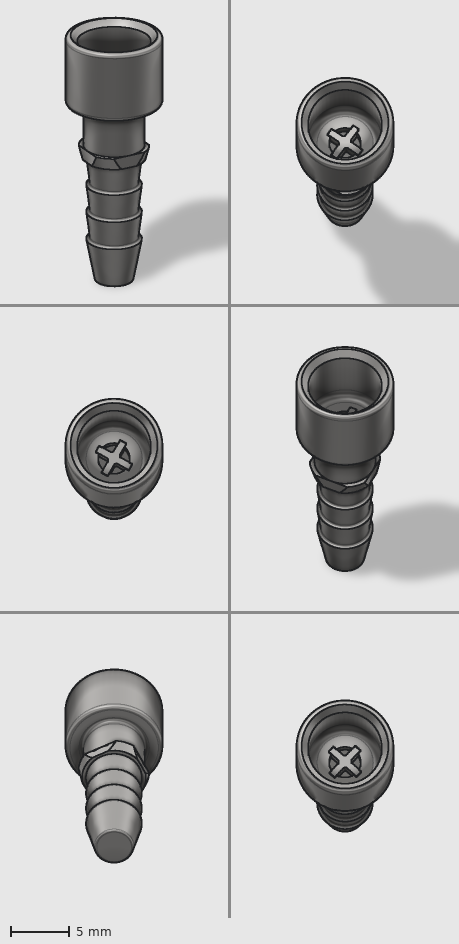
import cadquery as cq

TOTAL_HEIGHT = 22.86
EDGE_FILLET = 0.38

CUP_RADIUS = 4.19
CUP_HEIGHT = 6.35
SOCKET_RADIUS = 3.175
SOCKET_DEPTH = 5.4
SOCKET_FLOOR_FILLET = 0.76
SOCKET_CHAMFER = 0.56
CUP_BOTTOM = TOTAL_HEIGHT - CUP_HEIGHT
SOCKET_FLOOR = TOTAL_HEIGHT - SOCKET_DEPTH

NECK_RADIUS = 2.64
COLLAR_WIDTH = 2 * NECK_RADIUS
COLLAR_HEIGHT = 1.12
COLLAR_TOP_RADIUS = 3.05
COLLAR_BOTTOM_RADIUS = 2.75

BARB_COUNT = 3
BARB_PITCH = 2.54
BARB_RADIUS = 2.41
BARB_ROOT_RADIUS = 2.08
BARB_ROOT_FILLET = 0.2
TIP_HEIGHT = 3.84
TIP_RADIUS = 1.66
TIP_FILLET = 0.2
COLLAR_BOTTOM = TIP_HEIGHT + BARB_COUNT * BARB_PITCH
COLLAR_TOP = COLLAR_BOTTOM + COLLAR_HEIGHT

BORE_RADIUS = 1.36
BORE_DEPTH = 1.0
CROSS_LENGTH = 3.28
CROSS_WIDTH = 0.62
CROSS_RISE = 0.25
CROSS_CORNER_FILLET = 0.2


def cone_frustum(bottom_z, height, bottom_radius, top_radius):
    """Solid frustum about the Z axis."""
    solid = cq.Solid.makeCone(bottom_radius, top_radius, height, cq.Vector(0, 0, bottom_z))
    return cq.Workplane(obj=solid)


def cylinder(bottom_z, height, radius):
    """Solid cylinder about the Z axis."""
    return cq.Workplane().workplane(offset=bottom_z).circle(radius).extrude(height)


def ring_edges(radius, z):
    """Selector for the circular edge of a given radius at height z."""
    margin = 0.01
    return cq.selectors.BoxSelector(
        (-radius - margin, -radius - margin, z - margin),
        (radius + margin, radius + margin, z + margin),
        boundingbox=True,
    )


def make_barbs():
    """Tapered tip below a stack of equal barbs, each root blended into the barb below."""
    barbs = cone_frustum(0, TIP_HEIGHT, TIP_RADIUS, BARB_RADIUS)
    barbs = barbs.faces("<Z").edges().fillet(TIP_FILLET)
    for index in range(BARB_COUNT):
        root_z = TIP_HEIGHT + index * BARB_PITCH
        barbs = barbs.union(cone_frustum(root_z, BARB_PITCH, BARB_ROOT_RADIUS, BARB_RADIUS))
        barbs = barbs.edges(ring_edges(BARB_ROOT_RADIUS, root_z)).fillet(BARB_ROOT_FILLET)
    return barbs


def make_collar():
    """Square collar whose corners are trimmed by a cone."""
    square = (
        cq.Workplane()
        .workplane(offset=COLLAR_BOTTOM)
        .rect(COLLAR_WIDTH, COLLAR_WIDTH)
        .extrude(COLLAR_HEIGHT)
    )
    return square.intersect(
        cone_frustum(COLLAR_BOTTOM, COLLAR_HEIGHT, COLLAR_BOTTOM_RADIUS, COLLAR_TOP_RADIUS)
    )


def make_cup_and_neck():
    """Cup with a chamfered, round-bottomed socket, blended into the neck below it."""
    cup = cylinder(CUP_BOTTOM, CUP_HEIGHT, CUP_RADIUS).edges().fillet(EDGE_FILLET)
    cup = cup.union(cylinder(COLLAR_TOP, CUP_BOTTOM - COLLAR_TOP, NECK_RADIUS))
    cup = cup.edges(ring_edges(NECK_RADIUS, CUP_BOTTOM)).fillet(EDGE_FILLET)
    socket = cylinder(SOCKET_FLOOR, SOCKET_DEPTH, SOCKET_RADIUS)
    socket = socket.faces("<Z").edges().fillet(SOCKET_FLOOR_FILLET)
    mouth = cone_frustum(
        TOTAL_HEIGHT - SOCKET_CHAMFER, SOCKET_CHAMFER, SOCKET_RADIUS, SOCKET_RADIUS + SOCKET_CHAMFER
    )
    return cup.cut(socket).cut(mouth)


def make_cross():
    """Cross standing on the bore floor and rising above the socket floor."""
    height = BORE_DEPTH + CROSS_RISE
    base = cq.Workplane().workplane(offset=SOCKET_FLOOR - BORE_DEPTH)
    cross = base.rect(CROSS_LENGTH, CROSS_WIDTH).extrude(height)
    cross = cross.union(base.rect(CROSS_WIDTH, CROSS_LENGTH).extrude(height))
    inner_corners = cq.selectors.BoxSelector(
        (-CROSS_WIDTH, -CROSS_WIDTH, 0), (CROSS_WIDTH, CROSS_WIDTH, TOTAL_HEIGHT)
    )
    return cross.edges("|Z").edges(inner_corners).fillet(CROSS_CORNER_FILLET)


body = make_barbs().union(make_collar()).union(make_cup_and_neck())
bore = cylinder(SOCKET_FLOOR - BORE_DEPTH, BORE_DEPTH, BORE_RADIUS)
result = body.cut(bore).union(make_cross())